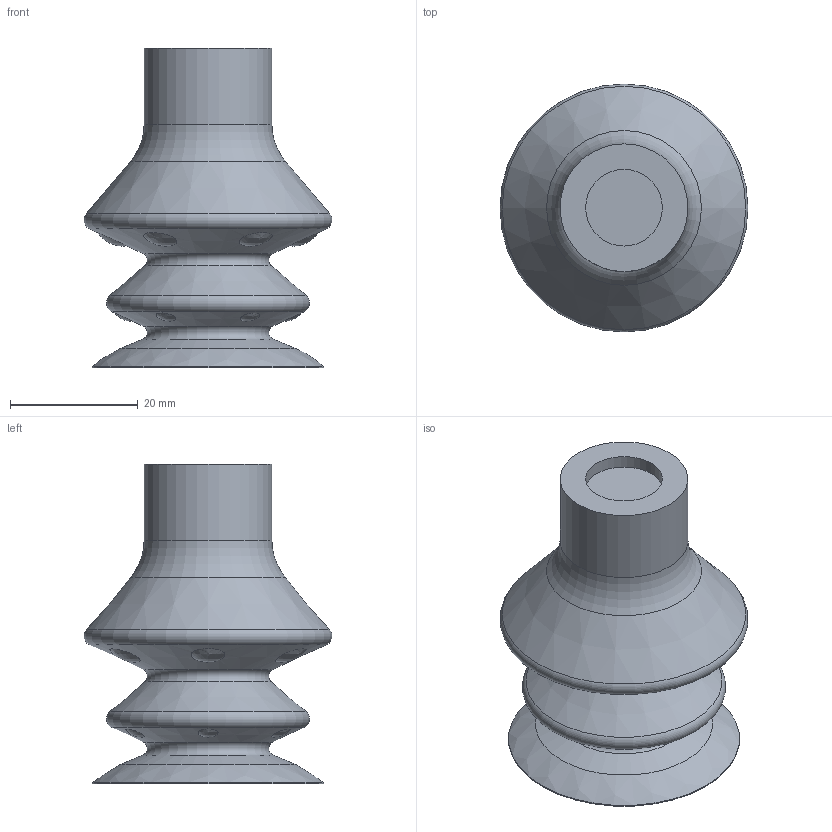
import cadquery as cq
import math

TOTAL_HEIGHT = 50.0
STEM_RADIUS = 20.0 / 2
BORE_DIAMETER = 12.0
BORE_DEPTH = 2.0

SHOULDER_Z = 38.1
SHOULDER_ROUND = 9.0
UPPER_LIP_Z = 23.1
UPPER_LIP_RADIUS = 38.82 / 2
LOWER_LIP_Z = 10.15
LOWER_LIP_RADIUS = 31.8 / 2
LIP_ROUND = 1.5
UPPER_NECK_Z = 16.85
LOWER_NECK_Z = 5.5
NECK_RADIUS = 9.5
NECK_ROUND = 1.13

RIM_RADIUS = 18.1
RIM_HEIGHT = 0.15
SKIRT_ROUND = 14.0
SKIRT_CENTER_Z = -9.98

PAD_COUNT = 6
UPPER_PAD_DIAMETER = 5.0
UPPER_PAD_HEIGHT = 0.7
UPPER_PAD_RING_RADIUS = 15.0
LOWER_PAD_DIAMETER = 3.0
LOWER_PAD_HEIGHT = 0.4
LOWER_PAD_RING_RADIUS = 13.2

SKIRT_RISE = RIM_HEIGHT - SKIRT_CENTER_Z
SKIRT_CENTER_RADIUS = RIM_RADIUS - math.sqrt(SKIRT_ROUND**2 - SKIRT_RISE**2)
SHOULDER = (STEM_RADIUS + SHOULDER_ROUND, SHOULDER_Z, SHOULDER_ROUND)
UPPER_LIP = (UPPER_LIP_RADIUS - LIP_ROUND, UPPER_LIP_Z, LIP_ROUND)
UPPER_NECK = (NECK_RADIUS + NECK_ROUND, UPPER_NECK_Z, NECK_ROUND)
LOWER_LIP = (LOWER_LIP_RADIUS - LIP_ROUND, LOWER_LIP_Z, LIP_ROUND)
LOWER_NECK = (NECK_RADIUS + NECK_ROUND, LOWER_NECK_Z, NECK_ROUND)
SKIRT = (SKIRT_CENTER_RADIUS, SKIRT_CENTER_Z, SKIRT_ROUND)


def cone_between(hollow, bulge):
    """Straight line touching a hollow (concave) arc and a bulging (convex) arc.

    Returns the touch point on each arc and the line's outward unit normal.
    """
    across = hollow[0] - bulge[0]
    along = hollow[1] - bulge[1]
    distance = math.hypot(across, along)
    heading = math.atan2(along, across)
    turn = math.acos((hollow[2] + bulge[2]) / distance)
    angle = max(heading - turn, heading + turn, key=math.cos)
    normal = (math.cos(angle), math.sin(angle))
    on_hollow = (hollow[0] - hollow[2] * normal[0], hollow[1] - hollow[2] * normal[1])
    on_bulge = (bulge[0] + bulge[2] * normal[0], bulge[1] + bulge[2] * normal[1])
    return on_hollow, on_bulge, normal


def make_body():
    """Stem, two bellows folds and foot skirt, revolved from one half outline."""
    shoulder_end, upper_lip_start, _ = cone_between(SHOULDER, UPPER_LIP)
    upper_neck_start, upper_lip_end, _ = cone_between(UPPER_NECK, UPPER_LIP)
    upper_neck_end, lower_lip_start, _ = cone_between(UPPER_NECK, LOWER_LIP)
    lower_neck_start, lower_lip_end, _ = cone_between(LOWER_NECK, LOWER_LIP)
    lower_neck_end, skirt_start, _ = cone_between(LOWER_NECK, SKIRT)
    outline = (
        cq.Workplane("XZ")
        .moveTo(0, TOTAL_HEIGHT)
        .lineTo(STEM_RADIUS, TOTAL_HEIGHT)
        .lineTo(STEM_RADIUS, SHOULDER_Z)
        .tangentArcPoint(shoulder_end, relative=False)
        .lineTo(*upper_lip_start)
        .tangentArcPoint(upper_lip_end, relative=False)
        .lineTo(*upper_neck_start)
        .tangentArcPoint(upper_neck_end, relative=False)
        .lineTo(*lower_lip_start)
        .tangentArcPoint(lower_lip_end, relative=False)
        .lineTo(*lower_neck_start)
        .tangentArcPoint(lower_neck_end, relative=False)
        .lineTo(*skirt_start)
        .tangentArcPoint((RIM_RADIUS, RIM_HEIGHT), relative=False)
        .lineTo(RIM_RADIUS, 0)
        .lineTo(0, 0)
        .close()
    )
    return outline.revolve(360, (0, 0, 0), (0, 1, 0))


def cut_bore(body):
    """Blind round recess in the top of the stem."""
    return body.faces(">Z").workplane().hole(BORE_DIAMETER, BORE_DEPTH)


def add_pads(body, neck, lip, ring_radius, diameter, height):
    """Ring of spherical caps on the cone that joins a lip to the neck below it."""
    neck_point, lip_point, normal = cone_between(neck, lip)
    fraction = (ring_radius - neck_point[0]) / (lip_point[0] - neck_point[0])
    ring_z = neck_point[1] + fraction * (lip_point[1] - neck_point[1])
    ball_radius = (diameter**2 / 4 + height**2) / (2 * height)
    sink = ball_radius - height
    ball_center = (ring_radius - sink * normal[0], 0, ring_z - sink * normal[1])
    root = (ring_radius - height * normal[0], 0, ring_z - height * normal[1])
    root_plane = cq.Plane(origin=root, xDir=(0, 1, 0), normal=(normal[0], 0, normal[1]))
    keeper = cq.Workplane(root_plane).circle(ball_radius).extrude(2 * height)
    pad = cq.Workplane("XY").sphere(ball_radius).translate(ball_center).intersect(keeper)
    for index in range(PAD_COUNT):
        body = body.union(pad.rotate((0, 0, 0), (0, 0, 1), index * 360 / PAD_COUNT))
    return body


result = cut_bore(make_body())
result = add_pads(
    result, UPPER_NECK, UPPER_LIP, UPPER_PAD_RING_RADIUS, UPPER_PAD_DIAMETER, UPPER_PAD_HEIGHT
)
result = add_pads(
    result, LOWER_NECK, LOWER_LIP, LOWER_PAD_RING_RADIUS, LOWER_PAD_DIAMETER, LOWER_PAD_HEIGHT
)